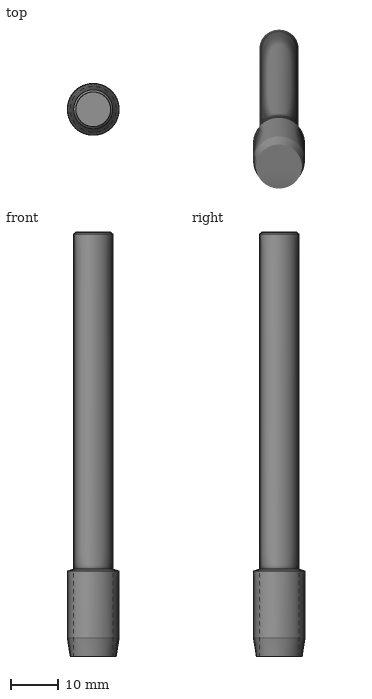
import cadquery as cq

rod_length = 90.0
rod_radius = 4.1
rod_chamfer = 0.45

sleeve_radius = 5.5
shoulder_height = 18.5
shoulder_drop = 0.45
nose_height = 4.0
nose_end_radius = 4.9


def make_rod():
    """Plain cylinder with its upper edge chamfered."""
    return cq.Workplane("XY").circle(rod_radius).extrude(rod_length).faces(">Z").chamfer(rod_chamfer)


def make_sleeve():
    """Half section revolved about Z: tapered nose, straight body and sloping shoulder."""
    return (
        cq.Workplane("XZ")
        .moveTo(rod_radius, 0)
        .lineTo(nose_end_radius, 0)
        .lineTo(sleeve_radius, nose_height)
        .lineTo(sleeve_radius, shoulder_height - shoulder_drop)
        .lineTo(rod_radius, shoulder_height)
        .close()
        .revolve(360, (0, 0, 0), (0, 1, 0))
    )


rod = make_rod()
sleeve = make_sleeve()

result = cq.Compound.makeCompound([rod.val(), sleeve.val()])